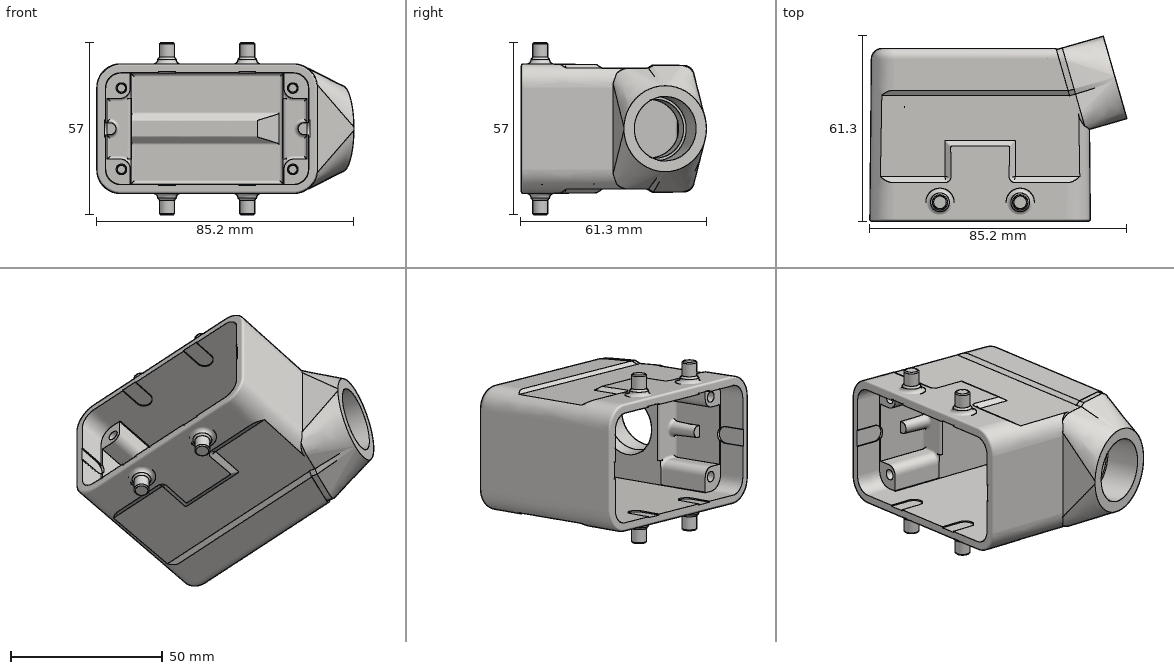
import cadquery as cq
import math


TOTAL_LENGTH = 85.2
TOTAL_DEPTH = 61.3
PIN_SPAN = 57.0

BODY_LENGTH = 73.1
BODY_WIDTH = 43.0
BODY_DEPTH = 57.2
BODY_CORNER_RADIUS = 7.9
BACK_EDGE_RADIUS = 3.6
RIM_RADIUS = 0.8
DRAFT_ANGLE = 0.55

SIDE_WALL = 3.0
END_WALL = 2.9
MOUTH_LENGTH = BODY_LENGTH - 2 * END_WALL
MOUTH_WIDTH = BODY_WIDTH - 2 * SIDE_WALL
MOUTH_CORNER_RADIUS = 5.1
POST_END_DEPTH = 9.4
STEP_DEPTH = 28.1
STEP_LENGTH = 66.1
POST_GAP_X = 50.9
POST_GAP_Z = 20.1
POST_CORNER_RADIUS = 3.2
STEP_FLOOR_RADIUS = 1.0
STEP_EDGE_RADIUS = 1.2
POCKET_LENGTH = 50.8
POCKET_DEPTH = BODY_DEPTH - SIDE_WALL
POCKET_RADIUS = 0.85

HOLE_X = 28.4
HOLE_Z = 13.45
HOLE_MOUTH_DIAMETER = 3.5
HOLE_END_DIAMETER = 2.7
HOLE_DEPTH = 13.6

GROOVE_WIDTH = 5.6
GROOVE_LENGTH = 10.2
GROOVE_RECESS = 0.3

NUB_RADIUS = 2.3
NUB_END_RADIUS = 2.0
NUB_CENTRE_X = 32.1
NUB_END_DEPTH = 17.9
NUB_ROOT_RADIUS = 1.0

RIB_HEIGHT = 2.55
RIB_BASE_WIDTH = 9.9
RIB_TOP_WIDTH = 5.45
RIB_BASE_END_X = 23.8
RIB_TOP_END_X = 16.6
RIB_EDGE_RADIUS = 0.7
RIB_ROOT_RADIUS = 0.7

PIN_X = 13.3
PIN_Y = 6.3
PIN_DIAMETER = 5.0
PIN_TIP_CHAMFER = 0.4
PIN_COLLAR_DIAMETER = 6.2
PIN_COLLAR_TOP_Z = 23.7
PIN_COLLAR_BOTTOM_Z = 22.9
PIN_FLANGE_DIAMETER = 9.4
PIN_FLANGE_ARC_SAG = 0.3

PANEL_FLOOR_Z = 20.0
PANEL_FRONT_Y = 14.9
PANEL_BACK_Y = 41.7
BEVEL_RUN = 1.7
BEVEL_RISE = 1.1
TONGUE_FLOOR_WIDTH = 23.3
TONGUE_END_Y = 26.8
TONGUE_CORNER_RADIUS = 0.85

SPOUT_TILT = 16.0
SPOUT_RADIUS = 14.2
SPOUT_LENGTH = 14.1
SPOUT_COLLAR = 2.05
SPOUT_UPPER_WIDTH = 41.9
SPOUT_LOWER_WIDTH = 2 * PANEL_FLOOR_Z
SPOUT_BACK_CORNER = 4.4
SPOUT_FRONT_CORNER_SIDE = 6.0
SPOUT_FRONT_CORNER_BASE = 3.8
SPOUT_FLAT_HALF_ANGLE = 2.0
SPOUT_TRIM_END = -9.4
ENTRY_DIAMETER = 21.3
ENTRY_DEPTH = 11.9
BORE_DIAMETER = 19.5
BORE_LENGTH = 23.85

OVERSHOOT = 4.3
OVERLAP = 0.85
PICK_MARGIN = 0.1
ARC_BULGE = 1 - math.sqrt(0.5)

HALF_LENGTH = BODY_LENGTH / 2
COS_TILT = math.cos(math.radians(SPOUT_TILT))
SIN_TILT = math.sin(math.radians(SPOUT_TILT))
SPOUT_END_X = TOTAL_LENGTH - HALF_LENGTH - SPOUT_RADIUS * SIN_TILT
SPOUT_END_Y = TOTAL_DEPTH - SPOUT_RADIUS * COS_TILT


def depth_plane(depth):
    """Plane parallel to the mouth, its normal pointing into the hood (+Y)."""
    return cq.Workplane(cq.Plane((0, depth, 0), (1, 0, 0), (0, 1, 0)))


def spout_plane(distance):
    """Plane across the spout axis; local x runs along -Z and local y to the back."""
    origin = (SPOUT_END_X + distance * COS_TILT, SPOUT_END_Y + distance * SIN_TILT, 0)
    return cq.Workplane(cq.Plane(origin, (0, 0, -1), (COS_TILT, SIN_TILT, 0)))


def on_both_z_sides(shape):
    return shape.union(shape.mirror("XY"))


def make_body():
    sketch = cq.Sketch().rect(BODY_LENGTH, BODY_WIDTH).vertices().fillet(BODY_CORNER_RADIUS)
    body = depth_plane(0).placeSketch(sketch).extrude(BODY_DEPTH, taper=DRAFT_ANGLE)
    body = body.faces(">Y").edges().fillet(BACK_EDGE_RADIUS)
    return body.faces("<Y").edges().fillet(RIM_RADIUS)


def make_panel_cutter():
    """U-shaped panel with bevelled edges, running off both ends of the body."""
    reach = HALF_LENGTH + OVERSHOOT
    half_tongue = TONGUE_FLOOR_WIDTH / 2
    outline = [
        (-reach, PANEL_BACK_Y),
        (-reach, PANEL_FRONT_Y),
        (-half_tongue, PANEL_FRONT_Y),
        (-half_tongue, TONGUE_END_Y),
        (half_tongue, TONGUE_END_Y),
        (half_tongue, PANEL_FRONT_Y),
        (reach, PANEL_FRONT_Y),
        (reach, PANEL_BACK_Y),
    ]
    bevel_angle = math.degrees(math.atan(BEVEL_RUN / BEVEL_RISE))
    panel = cq.Workplane(origin=(0, 0, PANEL_FLOOR_Z)).polyline(outline).close()
    panel = panel.extrude(2 * BEVEL_RISE, taper=-bevel_angle)
    corner = cq.selectors.BoxSelector(
        (-half_tongue - OVERLAP, TONGUE_END_Y - BEVEL_RUN - OVERLAP, PANEL_FLOOR_Z),
        (half_tongue + OVERLAP, TONGUE_END_Y + OVERLAP, PANEL_FLOOR_Z + 2 * BEVEL_RISE),
    )
    mitres = panel.edges("not(#Z or |Z)").edges(corner)
    return on_both_z_sides(mitres.fillet(TONGUE_CORNER_RADIUS))


def make_spout_trim():
    """Everything beyond the spout's foot, stepping outwards at its front corner."""
    far = TOTAL_LENGTH
    collar_end = -SPOUT_LENGTH - SPOUT_COLLAR
    corner_start = SPOUT_FRONT_CORNER_SIDE - SPOUT_RADIUS
    outline = [
        (collar_end, far),
        (collar_end, corner_start),
        (-SPOUT_LENGTH, corner_start),
        (SPOUT_TRIM_END, -SPOUT_RADIUS),
        (far, -SPOUT_RADIUS),
        (far, far),
    ]
    plane = cq.Plane((SPOUT_END_X, SPOUT_END_Y, 0), (COS_TILT, SIN_TILT, 0), (0, 0, 1))
    return cq.Workplane(plane).polyline(outline).close().extrude(BODY_WIDTH, both=True)


def spout_foot(width):
    """Rounded rectangle at the foot of the spout, its front corners taller than wide."""
    x = width / 2
    y = SPOUT_RADIUS
    side = SPOUT_FRONT_CORNER_SIDE
    base = SPOUT_FRONT_CORNER_BASE
    back = SPOUT_BACK_CORNER
    back_mid_x = x - ARC_BULGE * back
    back_mid_y = y - ARC_BULGE * back

    front_radius = (base**2 + side**2) / (2 * base)
    half_sweep = math.asin(side / front_radius) / 2
    front_mid_x = x - front_radius * (1 - math.cos(half_sweep))
    front_mid_y = side - y - front_radius * math.sin(half_sweep)

    wire = spout_plane(-SPOUT_LENGTH).moveTo(x, side - y).lineTo(x, y - back)
    wire = wire.threePointArc((back_mid_x, back_mid_y), (x - back, y)).lineTo(back - x, y)
    wire = wire.threePointArc((-back_mid_x, back_mid_y), (-x, y - back)).lineTo(-x, side - y)
    wire = wire.threePointArc((-front_mid_x, front_mid_y), (base - x, -y)).lineTo(x - base, -y)
    wire = wire.threePointArc((front_mid_x, front_mid_y), (x, side - y))
    return wire.close().val()


def spout_rim():
    """Circle split into eight arcs that pair with the sides and corners of the foot."""
    def point(angle):
        turn = math.radians(angle)
        return SPOUT_RADIUS * math.cos(turn), SPOUT_RADIUS * math.sin(turn)

    wire = spout_plane(0).moveTo(*point(-SPOUT_FLAT_HALF_ANGLE))
    for quadrant in (0, 90, 180, 270):
        wire = wire.threePointArc(point(quadrant), point(quadrant + SPOUT_FLAT_HALF_ANGLE))
        wire = wire.threePointArc(point(quadrant + 45), point(quadrant + 90 - SPOUT_FLAT_HALF_ANGLE))
    return wire.close().val()


def spout_loft(width):
    """Loft from foot to rim, with a straight collar running back into the body."""
    foot = spout_foot(width)
    backwards = cq.Vector(-SPOUT_COLLAR * COS_TILT, -SPOUT_COLLAR * SIN_TILT, 0)
    collar = cq.Workplane(cq.Solid.extrudeLinear(foot, [], backwards))
    return collar.union(cq.Workplane(cq.Solid.makeLoft([foot, spout_rim()], True)))


def make_spout():
    """Square-to-round spout, wider at the back, where a bevel continues the panel's edge."""
    def zone(distance, narrow_half, wide_half):
        slope = (wide_half - narrow_half) / BEVEL_RUN
        outer = wide_half + slope * TOTAL_DEPTH
        outline = [
            (narrow_half, -BEVEL_RUN),
            (outer, TOTAL_DEPTH),
            (-outer, TOTAL_DEPTH),
            (-narrow_half, -BEVEL_RUN),
        ]
        return spout_plane(distance).polyline(outline).close()

    foot_sizes = (SPOUT_LOWER_WIDTH / 2, SPOUT_UPPER_WIDTH / 2)
    rim_sizes = (math.sqrt(SPOUT_RADIUS**2 - BEVEL_RUN**2), SPOUT_RADIUS)
    foot_zone = zone(-SPOUT_LENGTH, *foot_sizes)
    rim_zone = zone(0, *rim_sizes)
    back_zone = cq.Workplane(cq.Solid.makeLoft([foot_zone.val(), rim_zone.val()], True))
    back_zone = back_zone.union(foot_zone.extrude(-SPOUT_COLLAR))
    return spout_loft(SPOUT_LOWER_WIDTH).union(spout_loft(SPOUT_UPPER_WIDTH).intersect(back_zone))


def make_step_edge_rounding():
    """Material cleared to round the step's edge where it drops into the pocket."""
    edge_x = POCKET_LENGTH / 2 - STEP_DEPTH * math.tan(math.radians(DRAFT_ANGLE))
    arc_x = edge_x + STEP_EDGE_RADIUS * ARC_BULGE
    arc_y = STEP_DEPTH + STEP_EDGE_RADIUS * ARC_BULGE
    profile = cq.Workplane("XY").moveTo(0, STEP_DEPTH).lineTo(edge_x + STEP_EDGE_RADIUS, STEP_DEPTH)
    profile = profile.threePointArc((arc_x, arc_y), (edge_x, STEP_DEPTH + STEP_EDGE_RADIUS))
    profile = profile.lineTo(0, STEP_DEPTH + STEP_EDGE_RADIUS).close()
    rounding = profile.extrude(POST_GAP_Z / 2, both=True)
    return rounding.union(rounding.mirror("YZ"))


def make_cavity():
    sketch = cq.Sketch().rect(MOUTH_LENGTH, MOUTH_WIDTH).vertices().fillet(MOUTH_CORNER_RADIUS)
    mouth = depth_plane(0).placeSketch(sketch).extrude(POST_END_DEPTH, taper=DRAFT_ANGLE)

    step_width = MOUTH_WIDTH - 2 * STEP_DEPTH * math.tan(math.radians(DRAFT_ANGLE))
    step_height = STEP_DEPTH - POST_END_DEPTH
    step = depth_plane(POST_END_DEPTH).rect(POST_GAP_X, step_width).extrude(step_height)
    step = step.union(depth_plane(POST_END_DEPTH).rect(STEP_LENGTH, POST_GAP_Z).extrude(step_height))
    post_corners = cq.selectors.BoxSelector(
        (-POST_GAP_X / 2 - OVERLAP, 0, -POST_GAP_Z / 2 - OVERLAP),
        (POST_GAP_X / 2 + OVERLAP, STEP_DEPTH, POST_GAP_Z / 2 + OVERLAP),
    )
    step = step.edges("|Y").edges(post_corners).fillet(POST_CORNER_RADIUS)
    step = step.faces(">Y").edges().fillet(STEP_FLOOR_RADIUS)

    pocket = depth_plane(0).rect(POCKET_LENGTH, MOUTH_WIDTH).extrude(POCKET_DEPTH, taper=DRAFT_ANGLE)
    pocket = pocket.faces(">Y").edges().fillet(POCKET_RADIUS)
    cavity = mouth.union(step).union(pocket).union(make_step_edge_rounding())
    cavity = cavity.cut(make_nubs()).cut(make_rib())
    rib_roots = cq.selectors.BoxSelector(
        (-POCKET_LENGTH / 2, POCKET_DEPTH - PICK_MARGIN, -RIB_BASE_WIDTH / 2 - PICK_MARGIN),
        (RIB_BASE_END_X, POCKET_DEPTH + PICK_MARGIN, RIB_BASE_WIDTH / 2 + PICK_MARGIN),
    )
    return cavity.faces(">Y").edges("|X").edges(rib_roots).fillet(RIB_ROOT_RADIUS)


def make_screw_holes():
    hole = cq.Solid.makeCone(
        HOLE_MOUTH_DIAMETER / 2,
        HOLE_END_DIAMETER / 2,
        HOLE_DEPTH,
        pnt=cq.Vector(0, POST_END_DEPTH, 0),
        dir=cq.Vector(0, 1, 0),
    )
    holes = cq.Workplane()
    for x in (-HOLE_X, HOLE_X):
        for z in (-HOLE_Z, HOLE_Z):
            holes = holes.add(hole.translate(cq.Vector(x, 0, z)))
    return holes.combine()


def make_grooves():
    """Round-ended grooves just deeper than the walls around the mouth."""
    radius = GROOVE_WIDTH / 2
    straight = GROOVE_LENGTH - radius

    def slot(plane, reach):
        bar = plane.moveTo(-radius, 0).lineTo(radius, 0).lineTo(radius, straight)
        bar = bar.threePointArc((0, GROOVE_LENGTH), (-radius, straight)).close()
        return bar.extrude(reach, both=True)

    z_reach = MOUTH_WIDTH / 2 + GROOVE_RECESS
    x_reach = MOUTH_LENGTH / 2 + GROOVE_RECESS
    grooves = slot(cq.Workplane(cq.Plane((0, 0, 0), (0, 0, -1), (1, 0, 0))), x_reach)
    for x in (-PIN_X, PIN_X):
        grooves = grooves.union(slot(cq.Workplane(origin=(x, 0, 0)), z_reach))
    return grooves


def make_nubs():
    """Half-round nubs, each flared at its root and joined to the end wall behind it."""
    root_radius = NUB_RADIUS + NUB_ROOT_RADIUS
    flare_start = STEP_DEPTH - NUB_ROOT_RADIUS
    arc_mid = (
        root_radius - NUB_ROOT_RADIUS * (1 - ARC_BULGE),
        STEP_DEPTH - NUB_ROOT_RADIUS * ARC_BULGE,
    )
    profile = cq.Workplane("XY").moveTo(0, NUB_END_DEPTH).lineTo(NUB_END_RADIUS, NUB_END_DEPTH)
    profile = profile.lineTo(NUB_RADIUS, flare_start).threePointArc(arc_mid, (root_radius, STEP_DEPTH))
    profile = profile.lineTo(root_radius, STEP_DEPTH + OVERLAP).lineTo(0, STEP_DEPTH + OVERLAP).close()
    nub = profile.revolve(360, (0, 0, 0), (0, 1, 0)).translate((NUB_CENTRE_X, 0, 0))

    wall_gap = STEP_LENGTH / 2 + OVERLAP - NUB_CENTRE_X
    link = depth_plane(NUB_END_DEPTH).center(NUB_CENTRE_X + wall_gap / 2, 0)
    link = link.rect(wall_gap, 2 * NUB_END_RADIUS).extrude(STEP_DEPTH - NUB_END_DEPTH)
    nub = nub.union(link)
    return nub.union(nub.mirror("YZ"))


def make_rib():
    start_x = -POCKET_LENGTH / 2 - OVERLAP

    def section(depth, end_x, width):
        plane = depth_plane(depth).center((start_x + end_x) / 2, 0)
        return plane.rect(end_x - start_x, width).wires().val()

    base = section(POCKET_DEPTH, RIB_BASE_END_X, RIB_BASE_WIDTH)
    top = section(POCKET_DEPTH - RIB_HEIGHT, RIB_TOP_END_X, RIB_TOP_WIDTH)
    rib = cq.Workplane(cq.Solid.makeLoft([base, top], True))
    return rib.faces("<Y").edges("|X").fillet(RIB_EDGE_RADIUS)


def make_pins():
    wall_z = BODY_WIDTH / 2 - PIN_Y * math.tan(math.radians(DRAFT_ANGLE))
    tip_z = PIN_SPAN / 2
    pin_radius = PIN_DIAMETER / 2
    collar_radius = PIN_COLLAR_DIAMETER / 2
    flange_radius = PIN_FLANGE_DIAMETER / 2
    root_z = wall_z - OVERLAP
    arc_mid = (
        (flange_radius + collar_radius) / 2 - PIN_FLANGE_ARC_SAG,
        (wall_z + PIN_COLLAR_BOTTOM_Z) / 2 - PIN_FLANGE_ARC_SAG,
    )
    profile = cq.Workplane("XZ").moveTo(0, root_z).lineTo(flange_radius, root_z)
    profile = profile.lineTo(flange_radius, wall_z)
    profile = profile.threePointArc(arc_mid, (collar_radius, PIN_COLLAR_BOTTOM_Z))
    profile = profile.lineTo(pin_radius, PIN_COLLAR_TOP_Z).lineTo(pin_radius, tip_z - PIN_TIP_CHAMFER)
    profile = profile.lineTo(pin_radius - PIN_TIP_CHAMFER, tip_z).lineTo(0, tip_z).close()
    pin = profile.revolve(360, (0, 0, 0), (0, 1, 0))
    pair = pin.translate((-PIN_X, PIN_Y, 0)).union(pin.translate((PIN_X, PIN_Y, 0)))
    return on_both_z_sides(pair)


def make_cable_bore():
    entry = spout_plane(0).circle(ENTRY_DIAMETER / 2).extrude(-ENTRY_DEPTH)
    return entry.union(spout_plane(0).circle(BORE_DIAMETER / 2).extrude(-BORE_LENGTH))


shell = make_body().cut(make_panel_cutter()).cut(make_spout_trim())
shell = shell.union(make_spout()).union(make_pins()).clean()
shell = shell.cut(make_cavity())
shell = shell.cut(make_screw_holes())
shell = shell.cut(make_grooves())
shell = shell.cut(make_cable_bore())
result = shell.solids()